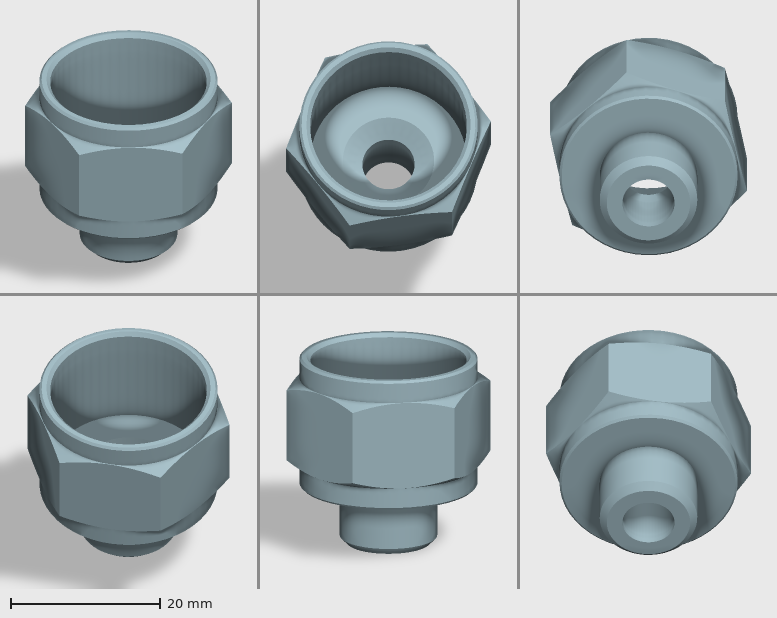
import cadquery as cq
import math

ACROSS_FLATS = 24.0
ACROSS_CORNERS = ACROSS_FLATS / math.cos(math.radians(30))
HEX_CHAMFER_ANGLE = 30.0
ENVELOPE_MARGIN = 1.0

BODY_RADIUS = 11.95
BODY_CHAMFER = 0.3

STEM_RADIUS = 6.55
STEM_CHAMFER = 0.95

STEM_LENGTH = 8.0
COLLAR_HEIGHT = 3.0
HEX_HEIGHT = 12.0
HEX_BOTTOM = STEM_LENGTH + COLLAR_HEIGHT
HEX_TOP = HEX_BOTTOM + HEX_HEIGHT
TOTAL_HEIGHT = HEX_TOP + COLLAR_HEIGHT

BORE_RADIUS = 10.5
BORE_DEPTH = 15.0
BORE_CHAMFER = 0.5
HOLE_RADIUS = 3.5
COUNTERSINK_RADIUS = 6.125
COUNTERSINK_ANGLE = 120.0
BORE_FLOOR = TOTAL_HEIGHT - BORE_DEPTH
COUNTERSINK_DEPTH = (COUNTERSINK_RADIUS - HOLE_RADIUS) / math.tan(
    math.radians(COUNTERSINK_ANGLE / 2)
)


def revolve_profile(points):
    """Revolve a closed (radius, height) outline about the Z axis."""
    return cq.Workplane("XZ").polyline(points).close().revolve(360, (0, 0), (0, 1))


def make_body():
    """Collars above and below the hexagon, with the stem below them."""
    return revolve_profile([
        (0, 0),
        (STEM_RADIUS - STEM_CHAMFER, 0),
        (STEM_RADIUS, STEM_CHAMFER),
        (STEM_RADIUS, STEM_LENGTH),
        (BODY_RADIUS - BODY_CHAMFER, STEM_LENGTH),
        (BODY_RADIUS, STEM_LENGTH + BODY_CHAMFER),
        (BODY_RADIUS, TOTAL_HEIGHT - BODY_CHAMFER),
        (BODY_RADIUS - BODY_CHAMFER, TOTAL_HEIGHT),
        (0, TOTAL_HEIGHT),
    ])


def make_hexagon():
    """Hexagonal prism with conically chamfered corners, corners on the X axis."""
    prism = (
        cq.Workplane("XY")
        .workplane(offset=HEX_BOTTOM)
        .polygon(6, ACROSS_CORNERS)
        .extrude(HEX_HEIGHT)
    )
    envelope_radius = ACROSS_CORNERS / 2 + ENVELOPE_MARGIN
    cone_height = (envelope_radius - BODY_RADIUS) * math.tan(math.radians(HEX_CHAMFER_ANGLE))
    envelope = revolve_profile([
        (0, HEX_BOTTOM),
        (BODY_RADIUS, HEX_BOTTOM),
        (envelope_radius, HEX_BOTTOM + cone_height),
        (envelope_radius, HEX_TOP - cone_height),
        (BODY_RADIUS, HEX_TOP),
        (0, HEX_TOP),
    ])
    return prism.intersect(envelope)


def make_passage():
    """Through hole, countersink and chamfered top bore as one cutting solid."""
    return revolve_profile([
        (0, 0),
        (HOLE_RADIUS, 0),
        (HOLE_RADIUS, BORE_FLOOR - COUNTERSINK_DEPTH),
        (COUNTERSINK_RADIUS, BORE_FLOOR),
        (BORE_RADIUS, BORE_FLOOR),
        (BORE_RADIUS, TOTAL_HEIGHT - BORE_CHAMFER),
        (BORE_RADIUS + BORE_CHAMFER, TOTAL_HEIGHT),
        (0, TOTAL_HEIGHT),
    ])


result = make_body().union(make_hexagon()).cut(make_passage())